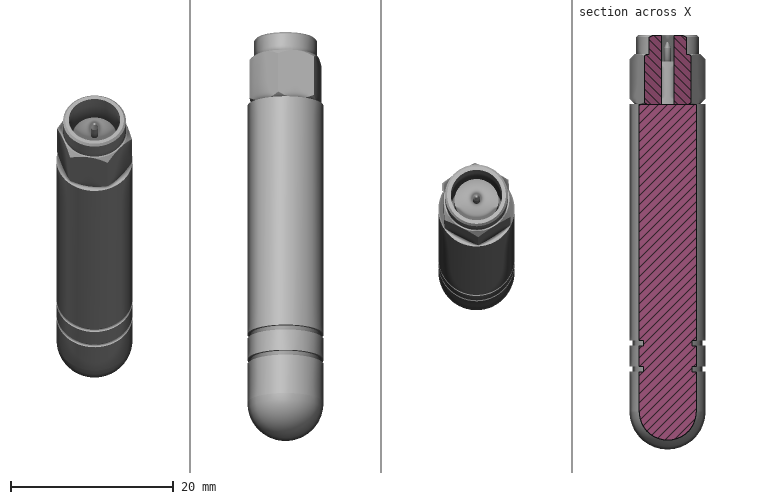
import cadquery as cq
import math

TOTAL_HEIGHT = 51.0

SLEEVE_RADIUS = 4.7
SLEEVE_TOP = 42.55
GROOVE_BOTTOMS = (9.6, 12.8)
GROOVE_WIDTH = 0.6
GROOVE_DEPTH = 0.38

HEX_ACROSS_FLATS = 8.1
HEX_TOP = 48.65
HEX_CHAMFER_RISE = 0.6
COLLAR_RADIUS = 3.9
COLLAR_CHAMFER_WIDTH = 0.25
COLLAR_CHAMFER_HEIGHT = 0.25
BORE_RADIUS = 3.15

CONTACT_DEPTH = 3.25
FERRULE_OUTER_RADIUS = 2.7
FERRULE_INNER_RADIUS = 2.55
PIN_SHANK_RADIUS = 0.5
PIN_RADIUS = 0.435
PIN_TIP_RADIUS = 0.15
PIN_TIP_DEPTH = 0.85
PIN_TAPER_LENGTH = 0.7

CONTACT_TOP = TOTAL_HEIGHT - CONTACT_DEPTH


def cylinder(radius, bottom, top):
    """Upright cylinder on the Z axis."""
    return cq.Workplane("XY").workplane(offset=bottom).circle(radius).extrude(top - bottom)


def revolve_profile(profile):
    """Full turn about the Z axis of an XZ profile."""
    return profile.close().revolve(360, (0, 0, 0), (0, 1, 0))


def make_sleeve():
    dome_mid = SLEEVE_RADIUS * math.sqrt(0.5)
    sleeve = revolve_profile(
        cq.Workplane("XZ")
        .moveTo(0, 0)
        .threePointArc((dome_mid, SLEEVE_RADIUS - dome_mid), (SLEEVE_RADIUS, SLEEVE_RADIUS))
        .lineTo(SLEEVE_RADIUS, SLEEVE_TOP)
        .lineTo(0, SLEEVE_TOP)
    )
    for bottom in GROOVE_BOTTOMS:
        top = bottom + GROOVE_WIDTH
        core = cylinder(SLEEVE_RADIUS - GROOVE_DEPTH, bottom, top)
        sleeve = sleeve.cut(cylinder(SLEEVE_RADIUS, bottom, top).cut(core))
    return sleeve


def make_nut():
    corner_radius = HEX_ACROSS_FLATS / math.sqrt(3)
    hexagon = (
        cq.Workplane("XY")
        .workplane(offset=SLEEVE_TOP)
        .polygon(6, 2 * corner_radius)
        .extrude(HEX_TOP - SLEEVE_TOP)
        .rotate((0, 0, 0), (0, 0, 1), 30)
    )
    end_radius = HEX_ACROSS_FLATS / 2
    envelope = revolve_profile(
        cq.Workplane("XZ")
        .moveTo(0, SLEEVE_TOP)
        .lineTo(end_radius, SLEEVE_TOP)
        .lineTo(corner_radius, SLEEVE_TOP + HEX_CHAMFER_RISE)
        .lineTo(corner_radius, HEX_TOP - HEX_CHAMFER_RISE)
        .lineTo(end_radius, HEX_TOP)
        .lineTo(0, HEX_TOP)
    )
    rim_radius = COLLAR_RADIUS - COLLAR_CHAMFER_WIDTH
    collar = revolve_profile(
        cq.Workplane("XZ")
        .moveTo(0, SLEEVE_TOP)
        .lineTo(COLLAR_RADIUS, SLEEVE_TOP)
        .lineTo(COLLAR_RADIUS, TOTAL_HEIGHT - COLLAR_CHAMFER_HEIGHT)
        .lineTo(rim_radius, TOTAL_HEIGHT)
        .lineTo(0, TOTAL_HEIGHT)
    )
    bore = cylinder(BORE_RADIUS, SLEEVE_TOP, TOTAL_HEIGHT)
    return hexagon.intersect(envelope).union(collar).cut(bore)


def make_ferrule():
    outside = cylinder(FERRULE_OUTER_RADIUS, SLEEVE_TOP, CONTACT_TOP)
    return outside.cut(cylinder(FERRULE_INNER_RADIUS, SLEEVE_TOP, CONTACT_TOP))


def make_insulator():
    plug = cylinder(FERRULE_INNER_RADIUS, SLEEVE_TOP, CONTACT_TOP)
    return plug.cut(cylinder(PIN_SHANK_RADIUS, SLEEVE_TOP, CONTACT_TOP))


def make_pin():
    tip = TOTAL_HEIGHT - PIN_TIP_DEPTH
    return revolve_profile(
        cq.Workplane("XZ")
        .moveTo(0, SLEEVE_TOP)
        .lineTo(PIN_SHANK_RADIUS, SLEEVE_TOP)
        .lineTo(PIN_SHANK_RADIUS, CONTACT_TOP)
        .lineTo(PIN_RADIUS, CONTACT_TOP)
        .lineTo(PIN_RADIUS, tip - PIN_TAPER_LENGTH)
        .lineTo(PIN_TIP_RADIUS, tip)
        .lineTo(0, tip)
    )


sleeve = make_sleeve()
nut = make_nut()
ferrule = make_ferrule()
insulator = make_insulator()
pin = make_pin()

result = cq.Compound.makeCompound(
    [sleeve.val(), nut.val(), ferrule.val(), insulator.val(), pin.val()]
)